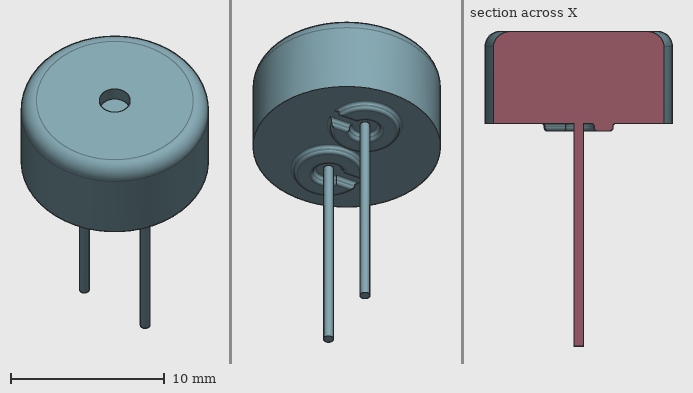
import cadquery as cq

body_diameter = 12.2
body_height = 6.0
rim_radius = 1.0
sound_hole_diameter = 2.0
sound_hole_depth = 1.0
pin_diameter = 0.65
pin_pitch = 5.0
pin_length = 14.0
foot_diameter = 4.5
foot_bore_diameter = 2.0
foot_height = 0.5
foot_gap_width = 1.0
foot_flare_radius = 0.2
foot_edge_radius = 0.22

body_bottom = foot_height
body_top = body_bottom + body_height
pin_x = pin_pitch / 2

stations = [(-pin_x, 180), (pin_x, 0)]


def make_case():
    """Round case with a rounded upper rim and a blind sound hole."""
    case = cq.Workplane("XY", origin=(0, 0, body_bottom)).circle(body_diameter / 2).extrude(body_height)
    case = case.faces(">Z").edges().fillet(rim_radius)
    sound_hole = (
        cq.Workplane("XY", origin=(0, 0, body_top))
        .circle(sound_hole_diameter / 2)
        .extrude(-sound_hole_depth)
    )
    return case.cut(sound_hole)


def make_foot(x, turn):
    """C-shaped standoff ring around a pin; its gap faces -Y before turning."""
    ring = (
        cq.Workplane("XY")
        .circle(foot_diameter / 2)
        .circle(foot_bore_diameter / 2)
        .extrude(foot_height)
    )
    gap = (
        cq.Workplane("XY")
        .center(0, -foot_diameter / 2)
        .rect(foot_gap_width, foot_diameter)
        .extrude(foot_height)
    )
    return ring.cut(gap).rotate((0, 0, 0), (0, 0, 1), turn).translate((x, 0, 0))


def round_feet(body):
    """Round the lower edges of the feet and flare their roots into the underside."""
    body = body.faces("<Z").edges().fillet(foot_edge_radius)
    underside = body.faces("|Z").faces(">Z[1]").val()
    root_edges = [edge for wire in underside.innerWires() for edge in wire.Edges()]
    return body.newObject(root_edges).fillet(foot_flare_radius)


def make_pin(x):
    """Straight round lead from the underside of the case down to its tip."""
    return (
        cq.Workplane("XY", origin=(x, 0, -pin_length))
        .circle(pin_diameter / 2)
        .extrude(pin_length + body_bottom)
    )


body = make_case()
for x, turn in stations:
    body = body.union(make_foot(x, turn))

result = round_feet(body)
for x, turn in stations:
    result = result.union(make_pin(x))